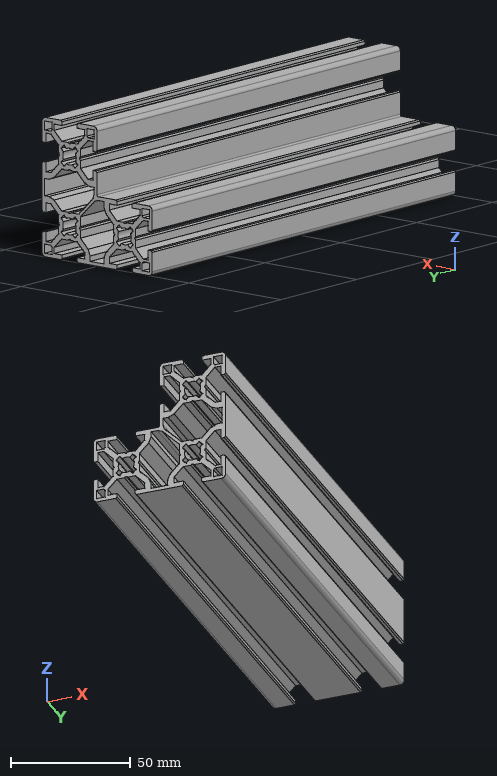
import cadquery as cq
import math

LENGTH = 200.0
MODULE = 30.0
SIDE = 2 * MODULE
HALF = MODULE / 2
CORNER_RADIUS = 2.0
INNER_CORNER_RADIUS = 0.8

OUTER_WALL = 1.5
FLANK_WALL = 3.0
RIB_THICKNESS = 2.5
WEB_THICKNESS = 1.5
KNEE_TRIM = 1.5
GUSSET_RUN = 0.5
GUSSET_RISE = 0.8

SLOT_OPENING = 8.2
SLOT_WIDTH = 16.5
LIP_THICKNESS = 2.2
LIP_CHAMFER = 0.5
CORE_HALF = 6.0
GROOVE_WIDTH = 1.5
GROOVE_DEPTH = 0.5

CHANNEL_DIAMETER = 7.2
LOBE_WIDTH = 2.2
LOBE_SPAN = 10.5

BOX_WALL = 1.2
BOX_CHAMFER = 0.7

SLOT_HALF = SLOT_WIDTH / 2
LIP_INNER = HALF - LIP_THICKNESS
RIB_SHIFT = RIB_THICKNESS / math.sqrt(2)
FLANK_OUTER = SLOT_HALF + FLANK_WALL
RIB_FOOT = CORE_HALF - RIB_SHIFT

LOW = HALF
HIGH = MODULE + HALF

MODULES = [
    ((LOW, LOW), (90, 180, 270), (180, 270)),
    ((HIGH, LOW), (0, 270), (0,)),
    ((HIGH, HIGH), (0, 90, 180), (90, 180)),
]
SLOT_UP = 90
BOX_UPPER_LEFT = 180


def prism(points):
    """Extrude an XZ outline over the full length of the part."""
    return cq.Workplane("XZ").polyline(points).close().extrude(-LENGTH)


def placed(shape, turn, centre):
    """Turn a shape about the module axis and move it to a module centre."""
    return shape.rotate((0, 0, 0), (0, -1, 0), turn).translate((centre[0], 0, centre[1]))


def rounded_bar(width, height):
    """Rounded rectangular bar sharing the lower right corner of the part."""
    bar = cq.Workplane("XZ").center(SIDE - width / 2, height / 2).rect(width, height).extrude(-LENGTH)
    return bar.edges("|Y").fillet(CORNER_RADIUS)


def envelope():
    """Outer L with rounded outer corners and a smaller round in the inner corner."""
    block = rounded_bar(SIDE, MODULE).union(rounded_bar(MODULE, SIDE))
    inner_corner = cq.selectors.NearestToPointSelector((MODULE, LENGTH / 2, MODULE))
    return block.edges("|Y").edges(inner_corner).fillet(INNER_CORNER_RADIUS)


def groove_points():
    """V-groove along the middle of a core face above the module centre, from right to left."""
    return [
        (GROOVE_WIDTH / 2, CORE_HALF),
        (0, CORE_HALF - GROOVE_DEPTH),
        (-GROOVE_WIDTH / 2, CORE_HALF),
    ]


def slot_cutter():
    """T-slot opening upwards from a module centre at the origin."""
    opening = SLOT_OPENING / 2
    right = [
        (opening + LIP_CHAMFER, HALF),
        (opening, HALF - LIP_CHAMFER),
        (opening, LIP_INNER),
        (SLOT_HALF, LIP_INNER),
        (SLOT_HALF, SLOT_HALF + RIB_SHIFT),
        (RIB_FOOT, CORE_HALF),
    ]
    left = [(-x, z) for x, z in reversed(right)]
    return prism(right + groove_points() + left)


def channel_cutter():
    """Round screw channel with four diagonal lobes, centred on the origin."""
    bore = cq.Workplane("XZ").circle(CHANNEL_DIAMETER / 2).extrude(-LENGTH)
    lobe = cq.Workplane("XZ").rect(LOBE_SPAN, LOBE_WIDTH).extrude(-LENGTH)
    for turn in (45, 135):
        bore = bore.union(lobe.rotate((0, 0, 0), (0, -1, 0), turn))
    return bore


def box_cutter():
    """Square hole in the upper left corner of a module at the origin."""
    outer = HALF - OUTER_WALL
    inner = SLOT_HALF + BOX_WALL
    return prism([
        (-outer, outer),
        (-outer, inner),
        (-inner - BOX_CHAMFER, inner),
        (-inner, inner + BOX_CHAMFER),
        (-inner, outer),
    ])


def cavity_points():
    """Hollow between the lower right and upper right modules, bounded below left by the web."""
    right = SIDE - OUTER_WALL
    left = MODULE + OUTER_WALL
    knee = FLANK_OUTER - RIB_SHIFT
    trim_along_rib = KNEE_TRIM / math.sqrt(2)
    knee_start = knee - trim_along_rib
    knee_rise = FLANK_OUTER - trim_along_rib
    knee_end = knee + KNEE_TRIM
    web_line = SIDE + WEB_THICKNESS / math.sqrt(2)
    floor = LOW + CORE_HALF
    groove_floor = [(HIGH + x, LOW + z) for x, z in reversed(groove_points())]
    groove_roof = [(HIGH + x, HIGH - z) for x, z in groove_points()]
    return [
        (web_line - floor, floor),
        *groove_floor,
        (HIGH + RIB_FOOT, floor),
        (HIGH + knee_start, LOW + knee_rise),
        (HIGH + knee_end, LOW + FLANK_OUTER),
        (right, LOW + FLANK_OUTER),
        (right, HIGH - FLANK_OUTER),
        (HIGH + knee_end, HIGH - FLANK_OUTER),
        (HIGH + knee_start, HIGH - knee_rise),
        (HIGH + RIB_FOOT, HIGH - CORE_HALF),
        *groove_roof,
        (HIGH - RIB_FOOT, HIGH - CORE_HALF),
        (HIGH - knee_start, HIGH - knee_rise),
        (HIGH - knee_end, HIGH - FLANK_OUTER),
        (left, HIGH - FLANK_OUTER),
        (left, MODULE + GUSSET_RISE),
        (left + GUSSET_RUN, web_line - left - GUSSET_RUN),
    ]


result = envelope()
for centre, slot_turns, box_turns in MODULES:
    for direction in slot_turns:
        result = result.cut(placed(slot_cutter(), direction - SLOT_UP, centre))
    for direction in box_turns:
        result = result.cut(placed(box_cutter(), direction - BOX_UPPER_LEFT, centre))
    result = result.cut(placed(channel_cutter(), 0, centre))

upper_cavity = cavity_points()
lower_cavity = [(SIDE - z, SIDE - x) for x, z in upper_cavity]
result = result.cut(prism(upper_cavity)).cut(prism(lower_cavity))